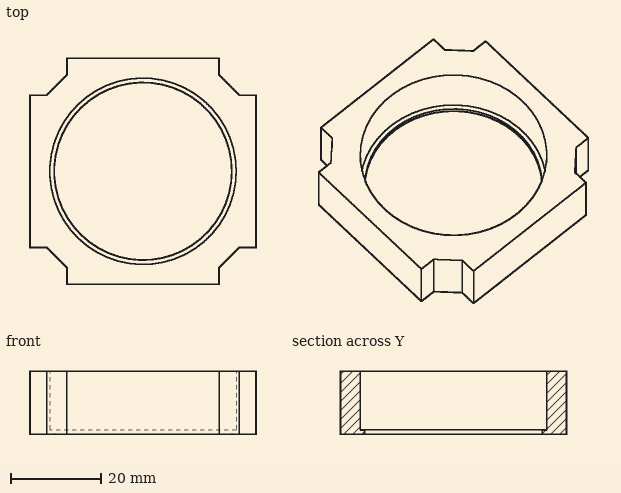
import cadquery as cq

side = 50.0
height = 14.0

flat_length = 33.7
wall_depth = 3.7

bore_diameter = 41.2
lip_diameter = 39.2
lip_height = 1.0

half_side = side / 2
half_flat = flat_length / 2
wall_end = half_side - wall_depth


def corner_notch(x_sign, y_sign):
    """Full-height cutter for the corner lying towards the given X and Y signs."""
    outline = [
        (half_side, half_flat),
        (wall_end, half_flat),
        (half_flat, wall_end),
        (half_flat, half_side),
        (half_side, half_side),
    ]
    points = [(x_sign * x, y_sign * y) for x, y in outline]
    return cq.Workplane("XY").polyline(points).close().extrude(height)


def stepped_bore():
    """Wide bore from the top, narrowed by the lip at the bottom."""
    lip_opening = cq.Workplane("XY").circle(lip_diameter / 2).extrude(height)
    wide_bore = (
        cq.Workplane("XY")
        .workplane(offset=lip_height)
        .circle(bore_diameter / 2)
        .extrude(height - lip_height)
    )
    return lip_opening.union(wide_bore)


body = cq.Workplane("XY").rect(side, side).extrude(height)
for x_sign in (-1, 1):
    for y_sign in (-1, 1):
        body = body.cut(corner_notch(x_sign, y_sign))

result = body.cut(stepped_bore())